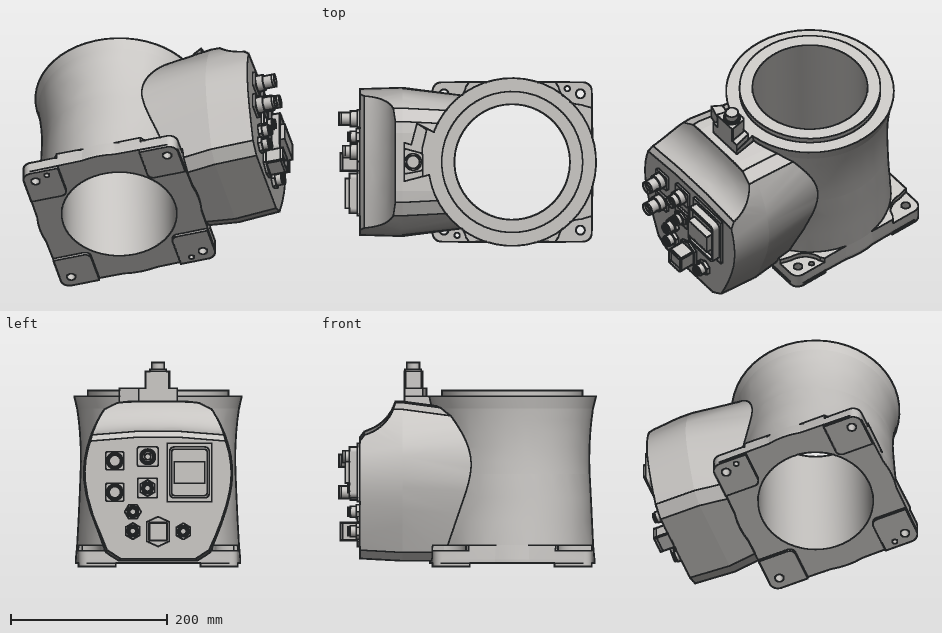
import cadquery as cq
import math


bore_radius = 73.5
flange_radius = 107.2
flange_bottom_z = 201.5
flange_top_z = 217.5
ring_radius = 90.0
ring_top_z = 225.0
barrel_foot_radius = 105
barrel_root_radius = 103.5
barrel_waist_radius = 99.2
barrel_neck_radius = 103.5
barrel_waist_z = 118.2
plate_half = 101.8
plate_bottom_z = 4.3
plate_top_z = 27.3
plate_seam_z = 9.2
plate_bottom_bow = 1.3
plate_top_bow = -0.5
plate_corner_radius = 11.5
foot_size = 48.0
foot_inner_radius = 8.0
bolt_offset = 87.0
bolt_hole_radius = 5.5
pin_hole_x = 70.3
pin_hole_y = 93.5
pin_hole_radius = 3.3
recess_floor_z = 20.5
recess_radius = 28.5
recess_flare = 5.3
recess_center_y = 101.8

face_x = -194.5
seam_x = -140.0
housing_end_x = -33
top_slope = 0.134
side_slope = 0.125
face_inset = 1.5
face_bottom_z = 10.2
seam_bottom_z = 7.2
end_side_lift = 6.5
scoop_lip_x = -188.5
scoop_back_x = -149.0
scoop_front_z = 165.5
scoop_lip_z = 173.0
scoop_middle = (-163.0, 187.5)
scoop_back_z = 210.8
scoop_crown_radius = 702.7

pad_thickness = 3.3
panel_x = face_x - pad_thickness
pad_corner = 2.3
body_end_x = -206.5
embed = 3.3


def build_barrel():
    """Waisted barrel with its flange and the raised ring on top."""
    profile = (
        cq.Workplane("XZ")
        .moveTo(0, plate_bottom_z)
        .lineTo(barrel_foot_radius, plate_bottom_z)
        .lineTo(barrel_foot_radius, plate_seam_z)
        .lineTo(barrel_root_radius, plate_top_z)
        .lineTo(barrel_waist_radius, barrel_waist_z)
        .tangentArcPoint((barrel_neck_radius, flange_bottom_z), relative=False)
        .lineTo(flange_radius, flange_top_z)
        .lineTo(ring_radius, flange_top_z)
        .lineTo(ring_radius, ring_top_z)
        .lineTo(0, ring_top_z)
        .close()
    )
    return profile.revolve(360, (0, 0, 0), (0, 1, 0))


def to_corner(shape, side_x, side_y):
    """Mirror a shape made for the +X +Y plate corner to the corner with the given signs."""
    if side_x < 0:
        shape = shape.mirror("YZ")
    if side_y < 0:
        shape = shape.mirror("XZ")
    return shape


def build_foot(side_x, side_y):
    """Square foot under one plate corner, rounded on its inner corner."""
    center = plate_half - foot_size / 2
    height = plate_bottom_z + embed
    foot = cq.Workplane("XY").box(foot_size, foot_size, height, centered=(True, True, False))
    foot = foot.edges("|Z and <X and <Y").fillet(foot_inner_radius)
    foot = foot.edges("|Z and >X and >Y").fillet(plate_corner_radius)
    foot = foot.translate((center, center, 0))
    return to_corner(foot, side_x, side_y)


def build_corner_recess(side_x, side_y):
    """Round pocket, flared at the plate edges, that lowers the plate around a bolt hole."""
    depth = plate_top_z - recess_floor_z
    plane = cq.Workplane("XY", origin=(0, 0, recess_floor_z))
    outer = plate_half + 3.3
    mouth = [
        (bolt_offset, recess_center_y - recess_radius),
        (outer, recess_center_y - recess_radius - recess_flare),
        (outer, outer),
        (bolt_offset - recess_radius - recess_flare, outer),
        (bolt_offset - recess_radius, recess_center_y - recess_flare),
        (bolt_offset, recess_center_y - recess_flare),
    ]
    recess = plane.polyline(mouth).close().extrude(depth)
    recess = recess.union(plane.center(bolt_offset, recess_center_y).circle(recess_radius).extrude(depth))
    return to_corner(recess, side_x, side_y)


def plate_outline(z, bow):
    """Square wire with round corners whose sides are pushed out by bow at their middles."""
    middle = plate_half + bow
    arc_start = plate_half - plate_corner_radius
    arc_middle = arc_start + plate_corner_radius / math.sqrt(2)
    wire = cq.Workplane("XY", origin=(0, 0, z)).moveTo(middle, 0)
    for side_x, side_y in ((1, 1), (-1, 1), (-1, -1), (1, -1)):
        near_y = (side_x * plate_half, side_y * arc_start)
        near_x = (side_x * arc_start, side_y * plate_half)
        corner = (side_x * arc_middle, side_y * arc_middle)
        if side_x == side_y:
            wire = wire.lineTo(*near_y).threePointArc(corner, near_x).lineTo(0, side_y * middle)
        else:
            wire = wire.lineTo(*near_x).threePointArc(corner, near_y).lineTo(side_x * middle, 0)
    return wire.close().wires().val()


def build_base():
    """Base plate with its feet, corner pockets, bolt holes and pin holes."""
    bottom = plate_outline(plate_bottom_z, plate_bottom_bow)
    seam = plate_outline(plate_seam_z, plate_bottom_bow)
    top = plate_outline(plate_top_z, plate_top_bow)
    lower = cq.Workplane(cq.Solid.makeLoft([bottom, seam], True))
    upper = cq.Workplane(cq.Solid.makeLoft([seam, top], True))
    base = lower.union(upper)
    corners = [(sx, sy) for sx in (-1, 1) for sy in (-1, 1)]
    for side_x, side_y in corners:
        base = base.union(build_foot(side_x, side_y))
    for side_x, side_y in corners:
        base = base.cut(build_corner_recess(side_x, side_y))
    bolts = [(sx * bolt_offset, sy * bolt_offset) for sx, sy in corners]
    pins = [(pin_hole_x, pin_hole_y), (-pin_hole_x, -pin_hole_y)]
    base = base.cut(cq.Workplane("XY").pushPoints(bolts).circle(bolt_hole_radius).extrude(plate_top_z))
    return base.cut(cq.Workplane("XY").pushPoints(pins).circle(pin_hole_radius).extrude(plate_top_z))


def housing_section(x, inset, top_drop, bottom_z, side_lift=0.0):
    """Closed YZ outline of the housing at X = x, narrowed by inset on each side.

    top_drop lowers the crown and side_lift raises the bulge of the sides.
    """
    bottom_half = 49.5 - inset
    lower = (66.5 - inset, bottom_z + 11.0)
    widest = (95.0 - inset, 123.0 + side_lift)
    crown_inset = 0.4 * inset
    shoulder = (68.5 - crown_inset, 200.5 - top_drop)
    crown = (51.5 - crown_inset, 209.2 - top_drop)
    crown_flat = (36.8, 210.8 - top_drop)
    side_points = [
        (83.0 - inset, 60.8 + side_lift),
        widest,
        (87.7 - inset, 162.0 + side_lift),
        shoulder,
    ]
    left_points = [(-y, z) for y, z in reversed(side_points[:-1])] + [(-lower[0], lower[1])]
    return (
        cq.Workplane("YZ", origin=(x, 0, 0))
        .moveTo(-bottom_half, bottom_z)
        .lineTo(bottom_half, bottom_z)
        .lineTo(*lower)
        .spline(side_points, includeCurrent=True)
        .lineTo(*crown)
        .lineTo(*crown_flat)
        .lineTo(-crown_flat[0], crown_flat[1])
        .lineTo(-crown[0], crown[1])
        .lineTo(-shoulder[0], shoulder[1])
        .spline(left_points, includeCurrent=True)
        .close()
        .wires()
        .val()
    )


def build_housing():
    """Connector housing: front block and the part tapering into the barrel."""
    run = housing_end_x - seam_x
    front = housing_section(face_x, face_inset, 0, face_bottom_z)
    seam = housing_section(seam_x, 0, 0, seam_bottom_z)
    end = housing_section(housing_end_x, side_slope * run, top_slope * run, seam_bottom_z, end_side_lift)
    front_block = cq.Workplane(cq.Solid.makeLoft([front, seam], True))
    rear_block = cq.Workplane(cq.Solid.makeLoft([seam, end], True))
    return front_block.union(rear_block).cut(build_scoop())


def build_scoop():
    """Concave cut across the upper front edge, crowned slightly along Y."""
    axis_z = scoop_front_z - scoop_crown_radius
    clear_x = face_x - 6.5
    clear_z = 230
    half_angle = 12
    profile = (
        cq.Workplane("XZ")
        .moveTo(clear_x, scoop_front_z)
        .lineTo(face_x, scoop_front_z)
        .lineTo(scoop_lip_x, scoop_lip_z)
        .threePointArc(scoop_middle, (scoop_back_x, scoop_back_z))
        .lineTo(scoop_back_x, clear_z)
        .lineTo(clear_x, clear_z)
        .close()
    )
    cut = profile.revolve(2 * half_angle, (0, axis_z, 0), (1, axis_z, 0))
    return cut.rotate((0, 0, axis_z), (1, 0, axis_z), -half_angle)


def on_panel(y, z, x=panel_x):
    """Sketch plane parallel to the face at X = x; +X is along -Y and extrusion runs towards -X."""
    return cq.Workplane(cq.Plane(origin=(x, y, z), xDir=(0, -1, 0), normal=(-1, 0, 0)))


def panel_block(y, z, width, height, end_x, corner=0.0):
    """Rectangular block standing on the face, with optionally rounded corners."""
    start_x = face_x + embed
    block = on_panel(y, z, start_x).rect(width, height).extrude(start_x - end_x)
    if corner > 0:
        block = block.edges("|X").fillet(corner)
    return block


def panel_pin(y, z, radius, end_x):
    """Round post standing on the face and ending at X = end_x."""
    start_x = face_x + embed
    return on_panel(y, z, start_x).circle(radius).extrude(start_x - end_x)


def panel_hex(y, z, across_flats, end_x, point_angle):
    """Hexagonal nut standing on the face, one corner at point_angle degrees."""
    start_x = face_x + embed
    corners_diameter = across_flats / math.cos(math.pi / 6)
    nut = on_panel(y, z, start_x).polygon(6, corners_diameter).extrude(start_x - end_x)
    return nut.rotate((0, y, z), (1, y, z), point_angle)


def panel_hole(y, z, radius, end_x, depth):
    """Cutter for a blind hole in the end of a post that ends at X = end_x."""
    return on_panel(y, z, end_x + depth).circle(radius).extrude(depth)


def build_plug(y, z):
    """Large stepped plug with an open end, on a rounded square pad."""
    end_x = -221.15
    size = 23.0
    body_radius = 10.2
    tip_radius = 8.2
    hole_radius = 7.2
    hole_depth = 3.3
    plug = panel_block(y, z, size, size, panel_x, pad_corner)
    plug = plug.union(panel_pin(y, z, body_radius, body_end_x))
    plug = plug.union(panel_pin(y, z, tip_radius, end_x))
    return plug.cut(panel_hole(y, z, hole_radius, end_x, hole_depth))


def build_coax_socket():
    """Stepped round socket with a recessed contact in its end, on a rounded pad."""
    y = 13.0
    z = 140.2
    end_x = -216.5
    pad_width = 26.3
    pad_height = 25.0
    body_radius = 10.0
    tip_radius = 8.0
    hole_radius = 6.5
    hole_depth = 3.3
    contact_radius = 4.0
    contact_inset = 1.5
    socket = panel_block(y, z, pad_width, pad_height, panel_x, pad_corner)
    socket = socket.union(panel_pin(y, z, body_radius, body_end_x))
    socket = socket.union(panel_pin(y, z, tip_radius, end_x))
    socket = socket.cut(panel_hole(y, z, hole_radius, end_x, hole_depth))
    return socket.union(panel_pin(y, z, contact_radius, end_x + contact_inset))


def build_fitting(y, z, point_angle, nut_x=-199.0):
    """Hex nut, round body, narrow neck and end collar with a small hole."""
    end_x = -209.8
    across_flats = 18.0
    body_radius = 7.2
    neck_radius = 4.3
    collar_radius = 6.0
    collar_length = 1.3
    hole_radius = 4.0
    hole_depth = 1.5
    fitting = panel_hex(y, z, across_flats, nut_x, point_angle)
    fitting = fitting.union(panel_pin(y, z, body_radius, body_end_x))
    fitting = fitting.union(panel_pin(y, z, neck_radius, end_x))
    collar = on_panel(y, z, end_x + collar_length).circle(collar_radius).extrude(collar_length)
    return fitting.union(collar).cut(panel_hole(y, z, hole_radius, end_x, hole_depth))


def build_padded_fitting():
    """Fitting whose nut sits on a square pad."""
    y = 13.5
    z = 100.0
    pad_width = 24.3
    pad_height = 25.0
    corner = 1.0
    nut_x = -201.0
    point_angle = 90
    pad = panel_block(y, z, pad_width, pad_height, panel_x, corner)
    return pad.union(build_fitting(y, z, point_angle, nut_x))


def build_square_port():
    """Square tube with a shallow open end, on a six-sided plate."""
    z = 44.5
    end_x = -219.5
    half_width = 14.0
    shoulder = 12.5
    point = 19.0
    size = 23.5
    wall = 1.0
    edge_chamfer = 1.3
    depth = 3.3
    outline = [
        (-half_width, -shoulder),
        (0, -point),
        (half_width, -shoulder),
        (half_width, shoulder),
        (0, point),
        (-half_width, shoulder),
    ]
    plate = on_panel(0, z, face_x + embed).polyline(outline).close().extrude(pad_thickness + embed)
    tube = panel_block(0, z, size, size, end_x).edges("|X").chamfer(edge_chamfer)
    port = plate.union(tube)
    inside = on_panel(0, z, end_x + depth).rect(size - 2 * wall, size - 2 * wall).extrude(depth)
    return port.cut(inside)


def build_switch():
    """Rectangular rounded frame on a flat pad, with a rocker block inside the frame."""
    y = -40.0
    z = 120.2
    frame_x = -208.0
    rocker_x = -213.0
    pad_width = 57.0
    pad_height = 75.0
    width = 51.0
    height = 65.0
    frame_corner = 6.2
    inner_corner = 3.3
    rocker_width = 38.5
    rocker_height = 27.5
    rim = 3.0
    depth = 5.0
    switch = panel_block(y, z, pad_width, pad_height, panel_x)
    switch = switch.union(panel_block(y, z, width, height, frame_x, frame_corner))
    inside = (
        on_panel(y, z, frame_x + depth)
        .rect(width - 2 * rim, height - 2 * rim)
        .extrude(depth)
        .edges("|X")
        .fillet(inner_corner)
    )
    switch = switch.cut(inside)
    return switch.union(panel_block(y, z, rocker_width, rocker_height, rocker_x))


def build_lug():
    """Flange-level lug carrying the stepped block and the upright connector."""
    root_z = 200.3
    block_top_z = 227.5
    tower_top_z = 249.2
    collar_top_z = 252.0
    pin_top_z = 260.7
    collar_radius = 10.5
    pin_radius = 8.2
    pin_x = -126.5
    tower_chamfer = 1.5
    lug_outline = [
        (-137.5, -24.5),
        (-92, -12.8),
        (-92, 34.5),
        (-100.0, 38.0),
        (-121.5, 49.3),
        (-128.7, 22.0),
        (-137.5, 24.5),
    ]
    block_outline = [
        (-137.5, -24.5),
        (-114.0, -18.5),
        (-115, 17.0),
        (-109.0, 41.5),
        (-121.5, 49.3),
        (-128.7, 22.0),
        (-137.5, 24.5),
    ]
    tower_outline = [(-137.5, -15.5), (-114.3, -11.0), (-114.3, 11.0), (-137.5, 17.0)]

    def prism(outline, top_z):
        return cq.Workplane("XY", origin=(0, 0, root_z)).polyline(outline).close().extrude(top_z - root_z)

    def post(radius, top_z):
        return cq.Workplane("XY", origin=(pin_x, 0, root_z)).circle(radius).extrude(top_z - root_z)

    lug = prism(lug_outline, flange_top_z)
    lug = lug.union(prism(block_outline, block_top_z))
    lug = lug.union(prism(tower_outline, tower_top_z).edges("|Z").chamfer(tower_chamfer))
    lug = lug.union(post(collar_radius, collar_top_z))
    return lug.union(post(pin_radius, pin_top_z))


body = build_barrel().union(build_base()).union(build_housing()).union(build_lug())

plug_y = 55.2
for plug_z in (135.0, 95.0):
    body = body.union(build_plug(plug_y, plug_z))
body = body.union(build_coax_socket())
body = body.union(build_padded_fitting())
for fitting_y, fitting_z, point_angle in ((32.2, 70.0, 0), (32.2, 45.3, 90), (-32.2, 45.0, 90)):
    body = body.union(build_fitting(fitting_y, fitting_z, point_angle))
body = body.union(build_square_port())
body = body.union(build_switch())

result = body.cut(cq.Workplane("XY").circle(bore_radius).extrude(ring_top_z))